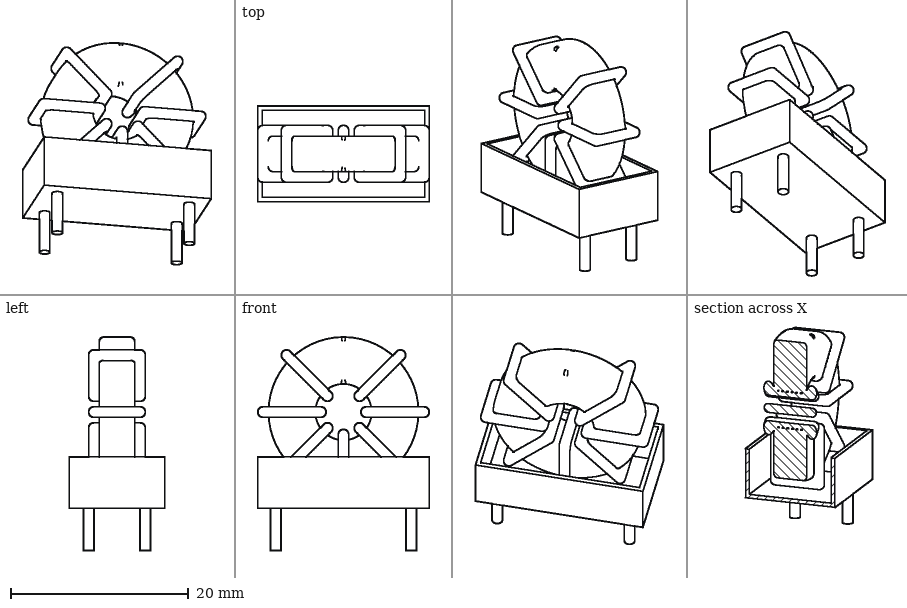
import cadquery as cq


tub_length = 19.3
tub_width = 10.79
base_thickness = 0.5
wall_height = 5.3
wall_thickness = 0.5
pin_diameter = 1.2
pin_length = 4.75
pin_spacing_x = 15.24
pin_spacing_y = 6.35

core_outer_radius = 8.45
core_inner_radius = 3.15
core_width = 4.0
core_edge_radius = 0.5
core_center_z = 10.85

wire_diameter = 1.2
wire_fillet = 0.59
window_corner_radius = 0.6
turn_pitch = 45
seat_angle = 90
turn_angles = [angle for angle in range(0, 360, turn_pitch) if angle != seat_angle]

core_radial_depth = core_outer_radius - core_inner_radius
core_mean_radius = (core_outer_radius + core_inner_radius) / 2


def make_base():
    """Base slab with an upright wall around its rim and four round pins below it."""
    slab = cq.Workplane("XY").rect(tub_length, tub_width).extrude(base_thickness)
    wall = (
        cq.Workplane("XY")
        .workplane(offset=base_thickness)
        .rect(tub_length, tub_width)
        .rect(tub_length - 2 * wall_thickness, tub_width - 2 * wall_thickness)
        .extrude(wall_height)
    )
    pins = (
        cq.Workplane("XY")
        .rect(pin_spacing_x, pin_spacing_y, forConstruction=True)
        .vertices()
        .circle(pin_diameter / 2)
        .extrude(-pin_length)
    )
    return slab.union(wall, clean=False).union(pins, clean=False)


def make_core():
    """Ring about the Y axis, centred on the origin, with all four rims rounded."""
    return (
        cq.Workplane("XZ", origin=(0, core_width / 2, 0))
        .circle(core_outer_radius)
        .circle(core_inner_radius)
        .extrude(core_width)
        .edges()
        .fillet(core_edge_radius)
    )


def make_turn(angle):
    """One closed wire loop, turned about the core's axis from +X towards +Z."""
    outside = (
        cq.Workplane("XY")
        .box(core_radial_depth + 2 * wire_diameter, core_width + 2 * wire_diameter, wire_diameter)
        .edges()
        .fillet(wire_fillet)
    )
    window = (
        cq.Workplane("XY")
        .box(core_radial_depth, core_width, wire_diameter)
        .edges("|Z")
        .fillet(window_corner_radius)
    )
    loop = outside.cut(window)
    reach_x = core_radial_depth / 2 + wire_diameter / 4
    reach_y = core_width / 2 + wire_diameter / 4
    inner_rims = cq.selectors.BoxSelector(
        (-reach_x, -reach_y, -wire_diameter), (reach_x, reach_y, wire_diameter)
    )
    loop = loop.faces("|Z").edges(inner_rims).fillet(wire_fillet)
    return loop.translate((core_mean_radius, 0, 0)).rotate((0, 0, 0), (0, 1, 0), -angle)


def make_wound_core():
    """Core and its turns as one piece, with the empty seat of a missing turn at the top."""
    wound_core = make_core().cut(make_turn(seat_angle))
    for angle in turn_angles:
        wound_core = wound_core.union(make_turn(angle))
    return wound_core.translate((0, 0, core_center_z))


base = make_base()
wound_core = make_wound_core()

result = cq.Compound.makeCompound([base.solids().val(), wound_core.solids().val()])